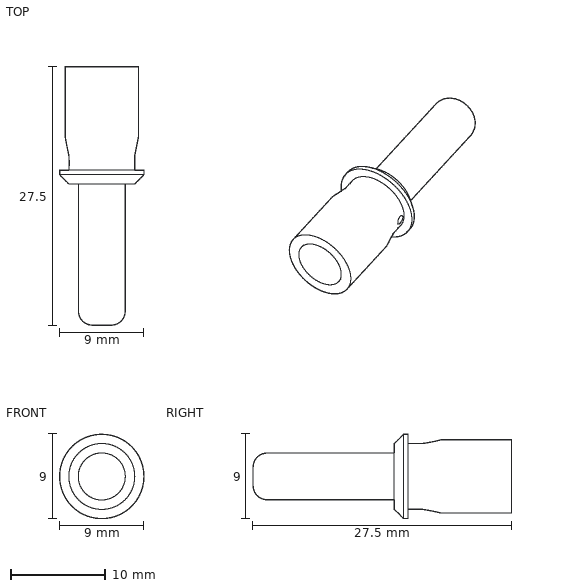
import cadquery as cq

overall_length = 27.5
tip_round = 1.5
pin_length = 15.02
flange_bevel = 1.0
flange_rim = 0.5
neck_length = 1.48
cone_length = 2.0

pin_diameter = 5.0
flange_diameter = 9.0
neck_diameter = 7.0
barrel_diameter = 7.8
bore_diameter = 5.4
inspection_hole_diameter = 1.0

tip_y = -overall_length / 2
barrel_end_y = overall_length / 2
flange_front_y = tip_y + pin_length
rim_front_y = flange_front_y + flange_bevel
neck_front_y = rim_front_y + flange_rim
cone_front_y = neck_front_y + neck_length
barrel_front_y = cone_front_y + cone_length

inspection_hole_y = neck_front_y + neck_length / 2
bore_floor_y = neck_front_y


def turned_body():
    """Revolve the stepped outer profile about Y and round the pin tip."""
    body = (
        cq.Workplane("XY")
        .moveTo(0, tip_y)
        .lineTo(pin_diameter / 2, tip_y)
        .lineTo(pin_diameter / 2, flange_front_y)
        .lineTo(neck_diameter / 2, flange_front_y)
        .lineTo(flange_diameter / 2, rim_front_y)
        .lineTo(flange_diameter / 2, neck_front_y)
        .lineTo(neck_diameter / 2, neck_front_y)
        .lineTo(neck_diameter / 2, cone_front_y)
        .lineTo(barrel_diameter / 2, barrel_front_y)
        .lineTo(barrel_diameter / 2, barrel_end_y)
        .lineTo(0, barrel_end_y)
        .close()
        .revolve(360, (0, 0, 0), (0, 1, 0))
    )
    return body.faces("<Y").edges().fillet(tip_round)


def wire_bore():
    """Blind bore entering from the barrel end."""
    return (
        cq.Workplane("XZ", origin=(0, barrel_end_y, 0))
        .circle(bore_diameter / 2)
        .extrude(barrel_end_y - bore_floor_y)
    )


def inspection_hole():
    """Radial hole from the -X side of the neck into the wire bore."""
    return (
        cq.Workplane("YZ", origin=(0, inspection_hole_y, 0))
        .circle(inspection_hole_diameter / 2)
        .extrude(-barrel_diameter / 2)
    )


result = turned_body().cut(wire_bore()).cut(inspection_hole())